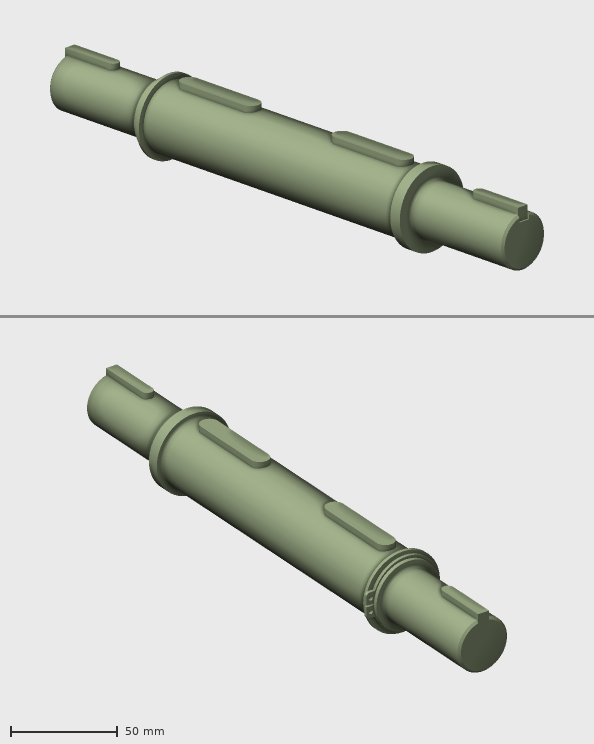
import cadquery as cq
import math

shaft_length = 298.0
end_diameter = 28.5
main_diameter = 36.5
collar_radius = 21.5
journal_length = 60.2
collar_start = 231.2
collar_width = 6.3
end_chamfer = 1.2
fillet_radius = 1.5

ring_thickness = 1.8
groove_radius = 17.5
groove_play = 0.5
washer_start = 64.5
washer_thickness = 1.8
ring_outer_radius = 19.5
ring_offset = 1.0
lug_tip = 22.0
lug_half_height = 7.0
lug_corner_radius = 1.8
ring_gap = 1.0
plier_hole_radius = 1.2
plier_hole_y = 19.7
plier_hole_z = 3.5

main_key_length = 50.0
main_key_width = 9.8
main_key_height = 8.0
main_key_top = 21.5
main_key_starts = (73.5, 173.7)
end_key_length = 31.5
end_key_width = 6.3
end_key_height = 7.1
end_key_top = 17.5
right_key_setback = 1.0

end_radius = end_diameter / 2
main_radius = main_diameter / 2
left_end = -shaft_length / 2
collar_end = collar_start + collar_width
ring_start = washer_start - ring_thickness
groove_start = ring_start - groove_play


def disc(start, length, radius):
    """Cylinder on the shaft axis, starting a given distance from the left end."""
    return cq.Workplane("YZ", origin=(left_end + start, 0, 0)).circle(radius).extrude(length)


def make_end_key(start, round_end):
    """Key with one square end and one round end; round_end is +1 (towards +X) or -1."""
    half_width = end_key_width / 2
    straight = end_key_length - half_width
    square_x = start if round_end > 0 else start + end_key_length
    tangent_x = square_x + round_end * straight
    tip_x = square_x + round_end * end_key_length
    return (
        cq.Workplane("XY", origin=(left_end, 0, end_key_top - end_key_height))
        .moveTo(square_x, -half_width)
        .lineTo(tangent_x, -half_width)
        .threePointArc((tip_x, 0), (tangent_x, half_width))
        .lineTo(square_x, half_width)
        .close()
        .extrude(end_key_height)
    )


def make_main_key(start):
    """Key with two round ends."""
    center_x = left_end + start + main_key_length / 2
    return (
        cq.Workplane("XY", origin=(center_x, 0, main_key_top - main_key_height))
        .slot2D(main_key_length, main_key_width)
        .extrude(main_key_height)
    )


def shaft_blank():
    """Turned shaft: stepped profile with end chamfers, root fillets and the ring groove."""
    r = fillet_radius
    sag = r * (1 - math.sqrt(0.5))
    profile = (
        cq.Workplane("XZ", origin=(left_end, 0, 0))
        .moveTo(0, 0)
        .lineTo(0, end_radius - end_chamfer)
        .lineTo(end_chamfer, end_radius)
        .lineTo(journal_length - r, end_radius)
        .threePointArc((journal_length - sag, end_radius + sag), (journal_length, end_radius + r))
        .lineTo(journal_length, main_radius)
        .lineTo(collar_start - r, main_radius)
        .threePointArc((collar_start - sag, main_radius + sag), (collar_start, main_radius + r))
        .lineTo(collar_start, collar_radius)
        .lineTo(collar_end, collar_radius)
        .lineTo(collar_end, end_radius + r)
        .threePointArc((collar_end + sag, end_radius + sag), (collar_end + r, end_radius))
        .lineTo(shaft_length - end_chamfer, end_radius)
        .lineTo(shaft_length, end_radius - end_chamfer)
        .lineTo(shaft_length, 0)
        .close()
    )
    blank = profile.revolve(360, (0, 0, 0), (1, 0, 0))
    groove_width = washer_start - groove_start
    groove = disc(groove_start, groove_width, collar_radius).cut(
        disc(groove_start, groove_width, groove_radius)
    )
    return blank.cut(groove)


def make_shaft(keys):
    """Turned shaft with a keyway for every key; the right keyway runs out through the end."""
    shaft = shaft_blank()
    for key in keys:
        shaft = shaft.cut(key)
    runout = cq.Workplane("XY").box(
        right_key_setback, end_key_width, end_key_height, centered=(False, True, False)
    )
    runout_place = (-left_end - right_key_setback, 0, end_key_top - end_key_height)
    return shaft.cut(runout.translate(runout_place))


def make_washer():
    """Flat spacer washer on the main seat, against the retaining ring."""
    outer = disc(washer_start, washer_thickness, collar_radius)
    return outer.cut(disc(washer_start, washer_thickness, main_radius))


def make_retaining_ring():
    """External retaining ring, thickest at -Y, with two drilled lugs either side of a gap at +Y."""
    face = cq.Workplane("YZ", origin=(left_end + ring_start, 0, 0))
    band = face.center(-ring_offset, 0).circle(ring_outer_radius).extrude(ring_thickness)
    lugs = (
        face.center(lug_tip / 2, 0)
        .rect(lug_tip, 2 * lug_half_height)
        .extrude(ring_thickness)
        .edges("|X and >Y")
        .fillet(lug_corner_radius)
    )
    bore = disc(ring_start, ring_thickness, groove_radius)
    gap = face.center(lug_tip / 2, 0).rect(lug_tip, ring_gap).extrude(ring_thickness)
    plier_holes = (
        face.pushPoints([(plier_hole_y, -plier_hole_z), (plier_hole_y, plier_hole_z)])
        .circle(plier_hole_radius)
        .extrude(ring_thickness)
    )
    return band.union(lugs).cut(bore).cut(gap).cut(plier_holes)


main_keys = [make_main_key(start) for start in main_key_starts]
left_end_key = make_end_key(0, 1)
right_end_key = make_end_key(shaft_length - right_key_setback - end_key_length, -1)
keys = [*main_keys, left_end_key, right_end_key]

shaft = make_shaft(keys)
washer = make_washer()
retaining_ring = make_retaining_ring()

result = cq.Compound.makeCompound(
    [shaft.val(), washer.val(), retaining_ring.val(), *[key.val() for key in keys]]
)